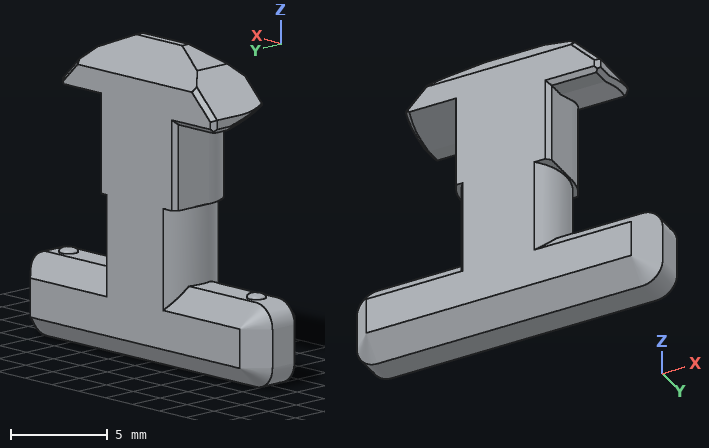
import cadquery as cq
import math

thickness = 4.0
half_thickness = thickness / 2

bar_length = 18
bar_height = 4.5
bar_corner_radius = 1.22
bar_chamfer = 1.2

pip_spacing = 13.97
pip_radius = 0.5
pip_height = 0.2
pip_root_depth = 0.18
pip_edge_radius = 0.2

round_neck_radius = 2.9
neck_step_z = 8.71

neck_half_width = 2.99
neck_arc_radius = 2.65
neck_arc_start = 0.47

total_height = 17.05
head_radius = 5.87
head_bottom_z = 13.3
head_end_top_z = 14.04
crest_half_width = 1.73
shoulder_z = 16.2
shoulder_half_width = head_radius - (shoulder_z - head_end_top_z)
ridge_half_width = 0.25
eave_z = total_height - (half_thickness - ridge_half_width)
ramp_start_y = 0.75
ramp_rise = 0.75
edge_chamfer = 0.25

clearance = 0.02


def make_bar():
    """Rounded rectangular bar with wide chamfers around both large faces."""
    return (
        cq.Workplane("XZ")
        .rect(bar_length, bar_height)
        .extrude(half_thickness, both=True)
        .translate((0, 0, bar_height / 2))
        .edges("|Y")
        .fillet(bar_corner_radius)
        .faces("<Y or >Y")
        .chamfer(bar_chamfer)
    )


def make_pips():
    """Low round pips, one near each end of the bar's top face."""
    return (
        cq.Workplane("XY", origin=(0, 0, bar_height - pip_root_depth))
        .pushPoints([(-pip_spacing / 2, 0), (pip_spacing / 2, 0)])
        .circle(pip_radius)
        .extrude(pip_root_depth + pip_height)
        .faces(">Z")
        .edges()
        .fillet(pip_edge_radius)
    )


def make_round_neck():
    """Cylinder trimmed flat to the part thickness, rooted inside the bar."""
    root_z = bar_height / 2
    height = neck_step_z - root_z
    slab = cq.Workplane("XY").box(
        2 * round_neck_radius, thickness, height, centered=(True, True, False)
    )
    cylinder = cq.Workplane("XY").circle(round_neck_radius).extrude(height)
    return cylinder.intersect(slab).translate((0, 0, root_z))


def make_half_neck():
    """The -X half of the upper neck, rounded towards -Y."""
    arc_run = half_thickness - neck_arc_start
    arc_center_x = neck_arc_radius - neck_half_width
    angle = math.asin(arc_run / neck_arc_radius)
    arc_middle = (
        arc_center_x - neck_arc_radius * math.cos(angle / 2),
        -neck_arc_start - neck_arc_radius * math.sin(angle / 2),
    )
    arc_end = (arc_center_x - neck_arc_radius * math.cos(angle), -half_thickness)
    return (
        cq.Workplane("XY", origin=(0, 0, neck_step_z))
        .moveTo(0, half_thickness)
        .lineTo(-neck_half_width, half_thickness)
        .lineTo(-neck_half_width, -neck_arc_start)
        .threePointArc(arc_middle, arc_end)
        .lineTo(0, -half_thickness)
        .close()
        .extrude(eave_z - neck_step_z)
    )


def make_head_blank():
    """The -X half of the head before its upper slopes are cut.

    The end is rounded towards -Y, where the underside ramps up, and its lower rim is chamfered.
    """
    height = total_height - head_bottom_z
    arc_end_y = half_thickness - edge_chamfer
    angle = math.asin(arc_end_y / head_radius)
    arc_end_x = head_radius * math.cos(angle)
    blank = (
        cq.Workplane("XY", origin=(0, 0, head_bottom_z))
        .moveTo(0, half_thickness)
        .lineTo(-head_radius, half_thickness)
        .lineTo(-head_radius, 0)
        .threePointArc(
            (-head_radius * math.cos(angle / 2), -head_radius * math.sin(angle / 2)),
            (-arc_end_x, -arc_end_y),
        )
        .lineTo(-arc_end_x + edge_chamfer, -half_thickness)
        .lineTo(0, -half_thickness)
        .close()
        .extrude(height)
    )
    below_ramp = (
        cq.Workplane("YZ")
        .polyline([
            (ramp_start_y, head_bottom_z),
            (-half_thickness, head_bottom_z + ramp_rise),
            (-half_thickness, head_bottom_z),
        ])
        .close()
        .extrude(-2 * head_radius)
    )
    blank = blank.cut(below_ramp)
    rim = [
        edge for edge in blank.edges().vals()
        if edge.Center().x < -arc_end_x
        and abs(edge.Center().y) < half_thickness - clearance
        and edge.Center().z < head_bottom_z + ramp_rise
        and edge.BoundingBox().ylen > edge_chamfer
    ]
    return blank.newObject(rim).chamfer(edge_chamfer)


def make_beveled_profile():
    """Front profile of the -X half of the upper neck and head, with beveled outlines.

    The whole outline is beveled at +Y, but only the end slope at -Y.
    """
    profile = (
        cq.Workplane("XZ")
        .polyline([
            (0, neck_step_z),
            (-neck_half_width, neck_step_z),
            (-neck_half_width, head_bottom_z),
            (-head_radius, head_bottom_z),
            (-head_radius, head_end_top_z),
            (-shoulder_half_width, shoulder_z),
            (-crest_half_width, total_height),
            (0, total_height),
        ])
        .close()
        .extrude(half_thickness, both=True)
    )
    outline = cq.selectors.BoxSelector(
        (-head_radius - clearance, half_thickness - clearance, neck_step_z + clearance),
        (-neck_half_width + clearance, half_thickness + clearance, shoulder_z),
    )
    slope = cq.selectors.BoxSelector(
        (-head_radius, -half_thickness - clearance, head_end_top_z + clearance),
        (-shoulder_half_width, -half_thickness + clearance, shoulder_z),
    )
    return profile.edges(outline).chamfer(edge_chamfer).edges(slope).chamfer(edge_chamfer)


def make_roof():
    """Gable-shaped envelope over the -X half of the upper neck and head."""
    return (
        cq.Workplane("YZ")
        .polyline([
            (half_thickness, neck_step_z),
            (half_thickness, eave_z),
            (ridge_half_width, total_height),
            (-ridge_half_width, total_height),
            (-half_thickness, eave_z),
            (-half_thickness, neck_step_z),
        ])
        .close()
        .extrude(-head_radius)
    )


def make_half_top():
    """The -X half of the upper neck and head."""
    body = make_head_blank().union(make_half_neck())
    return body.intersect(make_beveled_profile()).intersect(make_roof())


half_top = make_half_top()
result = (
    make_bar()
    .union(make_pips())
    .union(make_round_neck())
    .union(half_top)
    .union(half_top.rotate((0, 0, 0), (0, 0, 1), 180))
)